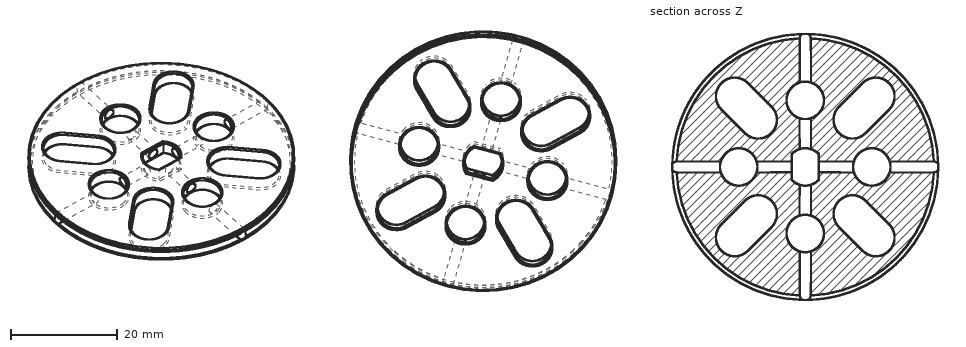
import cadquery as cq
import math

disc_diameter = 50.0
thickness = 3.1
edge_chamfer = 0.3
disc_radius = disc_diameter / 2

groove_depth = 0.8
groove_half_width = groove_depth

opening_diameter = 7.0
opening_pitch_radius = 12.5
slot_outer_pitch_radius = 18.75
bore_flat_width = 5.0
opening_angles = (0, 90, 180, 270)
slot_angles = (45, 135, 225, 315)

cross_hole_diameter = 2.0


def make_grooved_disc():
    """Plain disc with a V-groove at mid-thickness."""
    disc = cq.Workplane("XY").circle(disc_radius).extrude(thickness / 2, both=True)
    groove = (
        cq.Workplane("XZ")
        .moveTo(disc_radius - groove_depth, 0)
        .lineTo(disc_radius, groove_half_width)
        .lineTo(disc_radius, -groove_half_width)
        .close()
        .revolve(360, (0, 0, 0), (0, 1, 0))
    )
    return disc.cut(groove)


def round_outline():
    """Round hole centred on the inner pitch radius."""
    return cq.Workplane("XY").center(opening_pitch_radius, 0).circle(opening_diameter / 2)


def slot_outline():
    """Radial slot whose end centres lie on the inner and outer pitch radii."""
    center_spacing = slot_outer_pitch_radius - opening_pitch_radius
    slot_middle = (slot_outer_pitch_radius + opening_pitch_radius) / 2
    slot_length = center_spacing + opening_diameter
    return cq.Workplane("XY").center(slot_middle, 0).slot2D(slot_length, opening_diameter)


def bore_outline():
    """Round bore with two flats facing +X and -X."""
    radius = opening_diameter / 2
    flat_x = bore_flat_width / 2
    flat_y = math.sqrt(radius**2 - flat_x**2)
    return (
        cq.Workplane("XY")
        .moveTo(flat_x, -flat_y)
        .lineTo(flat_x, flat_y)
        .threePointArc((0, radius), (-flat_x, flat_y))
        .lineTo(-flat_x, -flat_y)
        .threePointArc((0, -radius), (flat_x, -flat_y))
        .close()
    )


def make_cross_hole(plane):
    """Drill through the disc centre along the plane's normal, running out past the rim."""
    return cq.Workplane(plane).circle(cross_hole_diameter / 2).extrude(disc_diameter, both=True)


def make_opening(outline, angle):
    """Cutter through the full thickness, turned about the disc axis."""
    return outline.extrude(thickness / 2, both=True).rotate((0, 0, 0), (0, 0, 1), angle)


result = make_grooved_disc().cut(make_opening(bore_outline(), 0))
for angle in opening_angles:
    result = result.cut(make_opening(round_outline(), angle))
for angle in slot_angles:
    result = result.cut(make_opening(slot_outline(), angle))

result = result.faces("|Z").chamfer(edge_chamfer)

for plane in ("ZY", "ZX"):
    result = result.cut(make_cross_hole(plane))